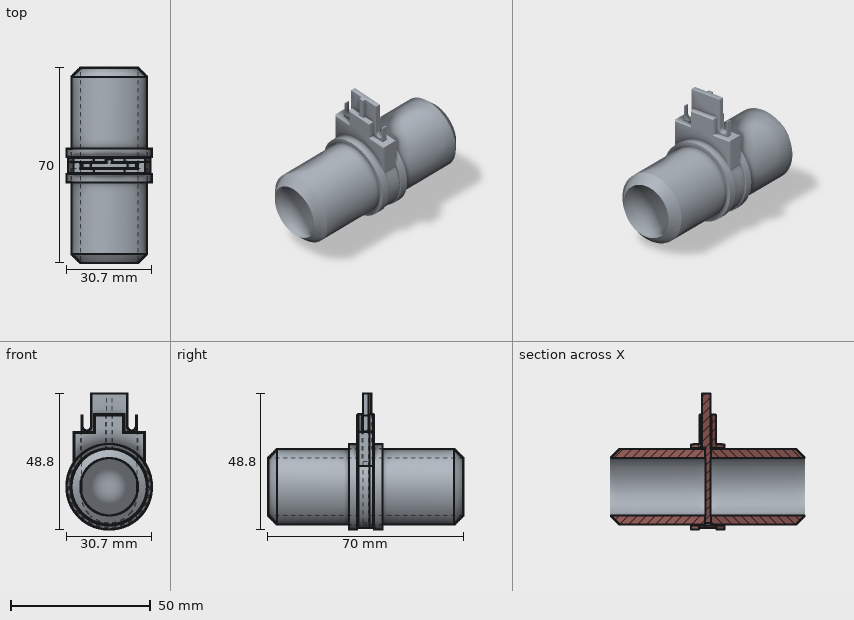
import cadquery as cq
import math


overall_length = 70.0
bore_diameter = 20.57
pipe_diameter = 27.18
pipe_wall = (pipe_diameter - bore_diameter) / 2

gate_thickness = 2.0
gate_front = -1.05
gate_back = gate_front + gate_thickness
gate_half_width = 10.0
gate_top = 33.5
gate_bottom_center_z = -3.0
gate_chamfer = 0.1
tongue_half_width = 6.5
arm_thickness = 0.4
arm_top = 25.5
notch_bottom = 20.15
rib_half_width = 1.0
rib_height = 1.1
rib_bottom = 14.0

gate_back_clearance = 0.35
rib_clearance = 0.25
pipe_clearance = 0.15

plate_wall = 1.75
collar_length = 3.0
collar_radius = 15.34
edge_chamfer = 0.4
plate_radius = 14.85
plate_half_width = 12.85
shoulder_z = 19.6
neck_half_width = 5.4
neck_top = 26.0

bore_radius = bore_diameter / 2
pipe_radius = pipe_diameter / 2
pocket_face = gate_back + gate_back_clearance
plate_face = pocket_face + plate_wall
collar_face = plate_face + collar_length
notch_radius = (gate_half_width - arm_thickness - tongue_half_width) / 2
notch_x = tongue_half_width + notch_radius
notch_z = notch_bottom + notch_radius


def extrude_y(outline, y_start, y_end):
    """Extrude an outline given on the XZ plane from y_start to y_end."""
    return outline.extrude(y_start - y_end).translate((0, y_start, 0))


def xz_plane():
    return cq.Workplane("XZ")


def y_cylinder(radius, y_start, y_end):
    return extrude_y(xz_plane().circle(radius), y_start, y_end)


def block(half_width, y_start, y_end, z_start, z_end):
    """Box centred on x = 0."""
    size = (2 * half_width, y_end - y_start, z_end - z_start)
    return cq.Workplane("XY").box(*size, centered=(True, False, False)).translate((0, y_start, z_start))


def round_bottom_strip(half_width, y_start, y_end, z_end):
    """Upright strip whose lower end is a half circle of its full width."""
    outline = (
        xz_plane()
        .moveTo(-half_width, z_end)
        .lineTo(-half_width, gate_bottom_center_z)
        .threePointArc((0, gate_bottom_center_z - half_width), (half_width, gate_bottom_center_z))
        .lineTo(half_width, z_end)
        .close()
    )
    return extrude_y(outline, y_start, y_end)


def make_pipe(inner_end):
    """Pipe end on the +Y side, from the gate face to an open end bevelled through the full wall."""
    profile = [
        (bore_radius, inner_end),
        (pipe_radius, inner_end),
        (pipe_radius, overall_length / 2 - pipe_wall),
        (bore_radius, overall_length / 2),
    ]
    return cq.Workplane("XY").polyline(profile).close().revolve(360, (0, 0, 0), (0, 1, 0))


def plate_blank(y_inner, y_outer, outer_side):
    """Housing plate with a round lower edge, shoulders, a neck and a chamfered outer face."""
    corner_z = math.sqrt(plate_radius**2 - plate_half_width**2)
    outline = (
        xz_plane()
        .moveTo(-plate_half_width, corner_z)
        .lineTo(-plate_half_width, shoulder_z)
        .lineTo(-neck_half_width, shoulder_z)
        .lineTo(-neck_half_width, neck_top)
        .lineTo(neck_half_width, neck_top)
        .lineTo(neck_half_width, shoulder_z)
        .lineTo(plate_half_width, shoulder_z)
        .lineTo(plate_half_width, corner_z)
        .threePointArc((0, -plate_radius), (-plate_half_width, corner_z))
        .close()
    )
    plate = extrude_y(outline, min(y_inner, y_outer), max(y_inner, y_outer))
    return plate.faces(outer_side).edges().chamfer(edge_chamfer)


def add_collar(plate, side):
    """Add the collar on the outer face and bore the pipe socket through collar and plate."""
    collar = y_cylinder(collar_radius, *sorted((side * plate_face, side * collar_face)))
    socket = y_cylinder(pipe_radius + pipe_clearance, -collar_face, collar_face)
    return plate.union(collar).cut(socket)


def make_front_housing():
    """Housing half on the -Y side, holding the whole gate pocket."""
    plate = plate_blank(pocket_face, -plate_face, "<Y")
    pocket = round_bottom_strip(bore_radius, -pocket_face, pocket_face, shoulder_z)
    above_shoulder = block(plate_half_width, -pocket_face, pocket_face, shoulder_z, neck_top)
    return add_collar(plate.cut(pocket).cut(above_shoulder), -1)


def make_rear_housing():
    """Housing half on the +Y side, closing the pocket and guiding the rib of the gate."""
    plate = plate_blank(pocket_face, plate_face, ">Y")
    groove_floor = gate_back + rib_height + rib_clearance
    groove = block(rib_half_width + rib_clearance, pocket_face, groove_floor, 0, neck_top)
    return add_collar(plate.cut(groove), 1)


def make_gate():
    """Sliding gate with a pull tongue, two thin side arms and a guide rib."""
    gate = round_bottom_strip(gate_half_width, gate_front, gate_back, gate_top)
    for side in (-1, 1):
        notch_round = y_cylinder(notch_radius, gate_front, gate_back)
        notch_slot = block(notch_radius, gate_front, gate_back, 0, gate_top)
        notch = notch_round.union(notch_slot).translate((side * notch_x, 0, notch_z))
        arm_tip = block(gate_half_width - tongue_half_width, gate_front, gate_back, arm_top, gate_top)
        gate = gate.cut(notch).cut(arm_tip.translate((side * gate_half_width, 0, 0)))
    gate = gate.faces("<Y").edges().chamfer(gate_chamfer)
    rib = block(rib_half_width, gate_back, gate_back + rib_height, rib_bottom, gate_top)
    return gate.union(rib)


rear_pipe = make_pipe(gate_back)
front_pipe = make_pipe(-gate_front).mirror("XZ")
front_housing = make_front_housing()
rear_housing = make_rear_housing()
gate = make_gate()

result = cq.Compound.makeCompound(
    [rear_pipe.val(), front_pipe.val(), front_housing.val(), rear_housing.val(), gate.val()]
)